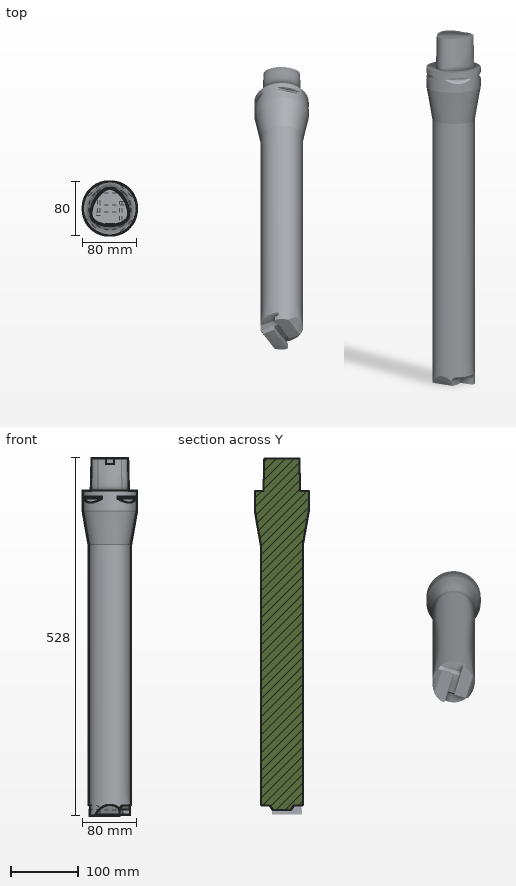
import cadquery as cq
import math

total_height = 528.0
collar_diameter = 80.0
shaft_diameter = 63.0
shank_height = 48.0
collar_height = 30.0
cone_height = 49.5
collar_top = total_height - shank_height
collar_bottom = collar_top - collar_height
cone_bottom = collar_bottom - cone_height

shank_mean_radius = 28.25
lobe_height = 2.3
taper_per_side = 1.15
flank_half_angle = 25
lobe_spacing = 120
first_flank_angle = -90
points_per_edge = 9

notch_width = 11.5
notch_height = 8.5
notch_depth = 2.0

groove_count = 4
groove_first_angle = 45
groove_drop = 8.5
groove_wall_height = 3.0
groove_height = 9.0
groove_depth = 5.0
groove_length = 53.0

head_width = 59.5
head_flat_height = 16.0
relief_top_offset = shaft_diameter / 2
relief_bottom_offset = 23.0
relief_top = 16.5
relief_bottom = 2.0
pocket_inner_x = 14.0
pocket_height = 15.5
pocket_corner_run = 3.5
pocket_wall_y = 10.5
seat_height = 9.5
slot_width = 10.5
slot_height = 8.5
back_half_rise = 1.5
cut_reach = 53.0


def shank_point(normal_angle, mean_radius):
    """Point of the lobed outline whose outward normal has the given angle."""
    angle = math.radians(normal_angle)
    support = mean_radius - lobe_height * math.sin(3 * angle)
    slope = -3 * lobe_height * math.cos(3 * angle)
    x = support * math.cos(angle) - slope * math.sin(angle)
    y = support * math.sin(angle) + slope * math.cos(angle)
    return cq.Vector(x, y, 0)


def shank_edge(start, end, mean_radius, z):
    step = (end - start) / (points_per_edge - 1)
    lift = cq.Vector(0, 0, z)
    points = [shank_point(start + i * step, mean_radius) + lift for i in range(points_per_edge)]
    tangents = [
        cq.Vector(-math.sin(math.radians(a)), math.cos(math.radians(a)), 0)
        for a in (start, end)
    ]
    return cq.Edge.makeSpline(points, tangents=tangents)


def shank_wire(mean_radius, z):
    """Closed outline of alternating flanks and lobes."""
    edges = []
    for side in range(3):
        middle = first_flank_angle + side * lobe_spacing
        flank_start = middle - flank_half_angle
        flank_end = middle + flank_half_angle
        edges.append(shank_edge(flank_start, flank_end, mean_radius, z))
        edges.append(shank_edge(flank_end, flank_start + lobe_spacing, mean_radius, z))
    return cq.Wire.assembleEdges(edges)


def make_shank():
    base = shank_wire(shank_mean_radius, collar_top)
    tip_radius = shank_mean_radius - taper_per_side
    tip = shank_wire(tip_radius, total_height)
    shank = cq.Workplane(obj=cq.Solid.makeLoft([base, tip], True))
    flank_y = shank_point(first_flank_angle, tip_radius).y
    notch = box(
        -notch_width / 2,
        notch_width / 2,
        -cut_reach,
        flank_y + notch_depth,
        total_height - notch_height,
        total_height,
    )
    return shank.cut(notch)


def box(x_min, x_max, y_min, y_max, z_min, z_max):
    return cq.Workplane("XY").box(
        x_max - x_min, y_max - y_min, z_max - z_min, centered=False
    ).translate((x_min, y_min, z_min))


def make_body():
    """Turned profile from the cutting head up to the collar."""
    return (
        cq.Workplane("XZ")
        .moveTo(0, 0)
        .lineTo(shaft_diameter / 2, 0)
        .lineTo(shaft_diameter / 2, cone_bottom)
        .lineTo(collar_diameter / 2, collar_bottom)
        .lineTo(collar_diameter / 2, collar_top)
        .lineTo(0, collar_top)
        .close()
        .revolve(360, (0, 0), (0, 1))
    )


def make_grooves():
    """Tangential grooves with a flat ceiling, a short wall and a sloped floor."""
    outer = collar_diameter / 2
    inner = outer - groove_depth
    top = collar_top - groove_drop
    profile = [
        (inner, top),
        (outer, top),
        (outer, top - groove_height),
        (inner, top - groove_wall_height),
    ]
    groove = cq.Workplane("XZ").polyline(profile).close().extrude(groove_length / 2, both=True)
    grooves = cq.Workplane("XY")
    for index in range(groove_count):
        angle = groove_first_angle + index * 360 / groove_count
        grooves = grooves.add(groove.rotate((0, 0, 0), (0, 0, 1), angle))
    return grooves.combine()


def make_half_cuts():
    """Sloped relief on -Y, side flat and insert pocket on +X."""
    relief = (
        cq.Workplane("YZ")
        .polyline([
            (-relief_top_offset, relief_top),
            (-relief_bottom_offset, relief_bottom),
            (-relief_bottom_offset, 0),
            (-cut_reach, 0),
            (-cut_reach, relief_top),
        ])
        .close()
        .extrude(cut_reach, both=True)
    )
    flat = box(head_width / 2, cut_reach, -cut_reach, cut_reach, 0, head_flat_height)
    pocket = (
        cq.Workplane("XZ", origin=(0, pocket_wall_y, 0))
        .polyline([
            (pocket_inner_x, 0),
            (cut_reach, 0),
            (cut_reach, pocket_height),
            (pocket_inner_x + pocket_corner_run, pocket_height),
            (pocket_inner_x, seat_height),
        ])
        .close()
        .extrude(cut_reach)
    )
    seat = box(pocket_inner_x, cut_reach, slot_width / 2, pocket_wall_y, 0, seat_height)
    return relief.union(flat).union(pocket.cut(seat))


def cut_head(body):
    half_cuts = make_half_cuts()
    for angle in (0, 180):
        body = body.cut(half_cuts.rotate((0, 0, 0), (0, 0, 1), angle))
    slot = box(-cut_reach, cut_reach, -slot_width / 2, slot_width / 2, 0, slot_height)
    back_step = box(-cut_reach, cut_reach, 0, cut_reach, 0, back_half_rise)
    return body.cut(slot).cut(back_step)


result = cut_head(make_body().cut(make_grooves())).union(make_shank())